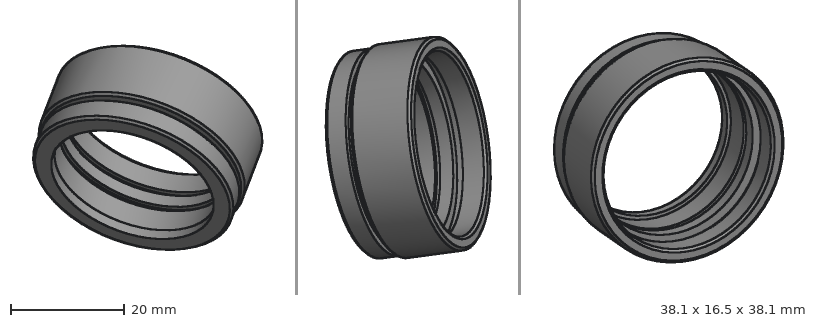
import cadquery as cq

outer_radius = 38.1 / 2
length = 16.5
chamfer = 0.5

flange_radius = 37.0 / 2
flange_width = 4.0
outer_groove_radius = 34.2 / 2
body_start = 5.0

lip_radius = 15.0
front_bore_radius = 15.75
land_radius = front_bore_radius
rear_bore_radius = 16.55
lip_end = 2.0
front_groove_start = 7.0
front_groove_end = 8.0
rear_groove_start = 10.5
rear_groove_end = 12.0
front_groove_radius = 16.65
rear_groove_radius = 17.6


def outer_outline():
    """(axial position, radius) corners of the outside, front to rear."""
    return [
        (0, flange_radius - chamfer),
        (chamfer, flange_radius),
        (flange_width, flange_radius),
        (flange_width, outer_groove_radius),
        (body_start, outer_groove_radius),
        (body_start, outer_radius - chamfer),
        (body_start + chamfer, outer_radius),
        (length - chamfer, outer_radius),
        (length, outer_radius - chamfer),
    ]


def bore_outline():
    """(axial position, radius) corners of the stepped bore, rear to front."""
    return [
        (length, rear_bore_radius + chamfer),
        (length - chamfer, rear_bore_radius),
        (rear_groove_end, rear_bore_radius),
        (rear_groove_end, rear_groove_radius),
        (rear_groove_start, rear_groove_radius),
        (rear_groove_start, land_radius),
        (front_groove_end, land_radius),
        (front_groove_end, front_groove_radius),
        (front_groove_start, front_groove_radius),
        (front_groove_start, front_bore_radius),
        (lip_end, front_bore_radius),
        (lip_end, lip_radius),
        (0, lip_radius),
    ]


section = cq.Workplane("YZ").polyline(outer_outline() + bore_outline()).close()
sleeve = section.revolve(360, (0, 0, 0), (1, 0, 0))

result = sleeve.translate((0, -length / 2, 0))